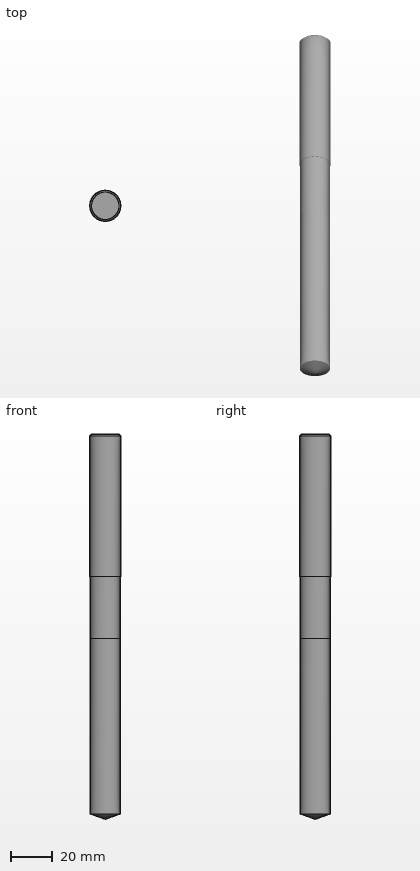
import cadquery as cq
import math

overall_length = 185.0
shank_start = 116.5
cutting_length = 87.0

shank_diameter = 15.0
neck_diameter = 14.6
cutting_diameter = neck_diameter

point_angle = 140.0
chamfer_width = 1.0
chamfer_height = 0.7

point_height = cutting_diameter / 2 / math.tan(math.radians(point_angle / 2))


def make_cutting_part():
    """Plain cylindrical cutting length ending in a conical drill point."""
    radius = cutting_diameter / 2
    return (
        cq.Workplane("XZ")
        .moveTo(0, 0)
        .lineTo(radius, point_height)
        .lineTo(radius, cutting_length)
        .lineTo(0, cutting_length)
        .close()
        .revolve(360, (0, 0, 0), (0, 1, 0))
    )


def make_shank():
    """Neck and slightly thicker shank, chamfered at the free end."""
    neck_radius = neck_diameter / 2
    shank_radius = shank_diameter / 2
    return (
        cq.Workplane("YZ")
        .moveTo(0, cutting_length)
        .lineTo(neck_radius, cutting_length)
        .lineTo(neck_radius, shank_start)
        .lineTo(shank_radius, shank_start)
        .lineTo(shank_radius, overall_length - chamfer_height)
        .lineTo(shank_radius - chamfer_width, overall_length)
        .lineTo(0, overall_length)
        .close()
        .revolve(360, (0, 0, 0), (0, 1, 0))
    )


cutting_part = make_cutting_part()
shank = make_shank()

result = cq.Compound.makeCompound([cutting_part.val(), shank.val()])